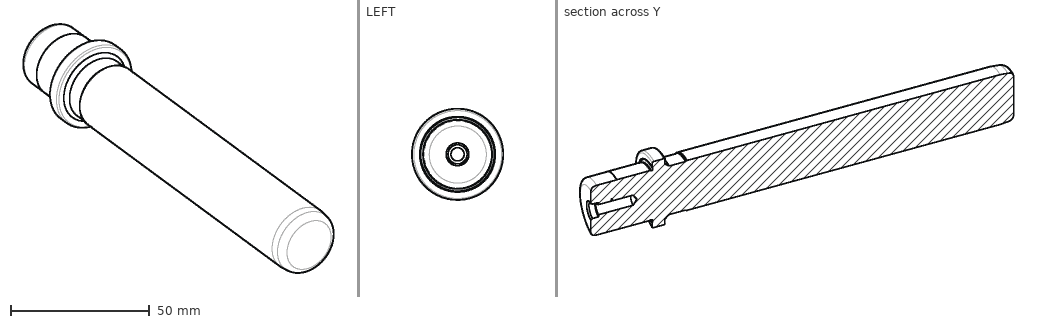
import cadquery as cq
import math

length = 164.0
pin_radius = 25.0 / 2
flange_radius = 33.0 / 2

spigot_end_round = 2.1
lead_in_length = 10.0
lead_in_step = 0.05
lead_in_radius = pin_radius - lead_in_step

flange_front = 23.8
flange_width = 5.1
flange_back = flange_front + flange_width
flange_edge_round = 0.7

relief_start = 23.0
relief_depth = 0.25
relief_radius = pin_radius - relief_depth
relief_ramp_length = 0.5
relief_floor_start = relief_start + relief_ramp_length
relief_face = flange_front + relief_depth
relief_corner_round = 0.5
relief_face_radius = 13.6
relief_face_ramp_height = 0.3
relief_face_flat_radius = relief_face_radius - relief_face_ramp_height

neck_radius = 12.1
neck_cone = 1.5
neck_end = 36.7
neck_chamfer_length = 0.5

tip_length = 5.4
tip_round = 2.5
tip_taper_height = 0.3
tip_radius = pin_radius - tip_taper_height

hole_diameter = 4.8
recess_diameter = 6.9
recess_depth = 3.0
recess_chamfer = 0.7
hole_depth = 16.4
drill_point_angle = 118.0


def add_round(outline, end_x, end_radius, centre_x, centre_radius, size, angle):
    """Add a quarter arc whose middle lies at the given angle from its centre."""
    middle_x = centre_x + size * math.cos(math.radians(angle))
    middle_radius = centre_radius + size * math.sin(math.radians(angle))
    return outline.threePointArc((middle_x, middle_radius), (end_x, end_radius))


def make_body():
    """Revolve the half outline of the whole pin about X."""
    outline = cq.Workplane("XY").lineTo(0, lead_in_radius - spigot_end_round)
    outline = add_round(
        outline, spigot_end_round, lead_in_radius,
        spigot_end_round, lead_in_radius - spigot_end_round, spigot_end_round, 135,
    )
    outline = (
        outline.lineTo(lead_in_length, lead_in_radius)
        .lineTo(lead_in_length, pin_radius)
        .lineTo(relief_start, pin_radius)
        .lineTo(relief_floor_start, relief_radius)
        .lineTo(relief_face - relief_corner_round, relief_radius)
    )
    outline = add_round(
        outline, relief_face, relief_radius + relief_corner_round,
        relief_face - relief_corner_round, relief_radius + relief_corner_round,
        relief_corner_round, -45,
    )
    outline = (
        outline.lineTo(relief_face, relief_face_flat_radius)
        .lineTo(flange_front, relief_face_radius)
        .lineTo(flange_front, flange_radius - flange_edge_round)
    )
    outline = add_round(
        outline, flange_front + flange_edge_round, flange_radius,
        flange_front + flange_edge_round, flange_radius - flange_edge_round,
        flange_edge_round, 135,
    )
    outline = outline.lineTo(flange_back - flange_edge_round, flange_radius)
    outline = add_round(
        outline, flange_back, flange_radius - flange_edge_round,
        flange_back - flange_edge_round, flange_radius - flange_edge_round,
        flange_edge_round, 45,
    )
    outline = (
        outline.lineTo(flange_back, neck_radius + neck_cone)
        .lineTo(flange_back + neck_cone, neck_radius)
        .lineTo(neck_end, neck_radius)
        .lineTo(neck_end + neck_chamfer_length, pin_radius)
        .lineTo(length - tip_length, pin_radius)
        .lineTo(length - tip_round, tip_radius)
    )
    outline = add_round(
        outline, length, tip_radius - tip_round,
        length - tip_round, tip_radius - tip_round, tip_round, 45,
    )
    return outline.lineTo(length, 0).close().revolve(360, (0, 0, 0), (1, 0, 0))


def make_centre_hole():
    """Revolve the recess, the bore and the drill point as one cutter."""
    bore_radius = hole_diameter / 2
    recess_radius = recess_diameter / 2
    point_depth = bore_radius / math.tan(math.radians(drill_point_angle / 2))
    return (
        cq.Workplane("XY")
        .lineTo(0, recess_radius + recess_chamfer)
        .lineTo(recess_chamfer, recess_radius)
        .lineTo(recess_depth, recess_radius)
        .lineTo(recess_depth, bore_radius)
        .lineTo(hole_depth, bore_radius)
        .lineTo(hole_depth + point_depth, 0)
        .close()
        .revolve(360, (0, 0, 0), (1, 0, 0))
    )


result = make_body().cut(make_centre_hole())